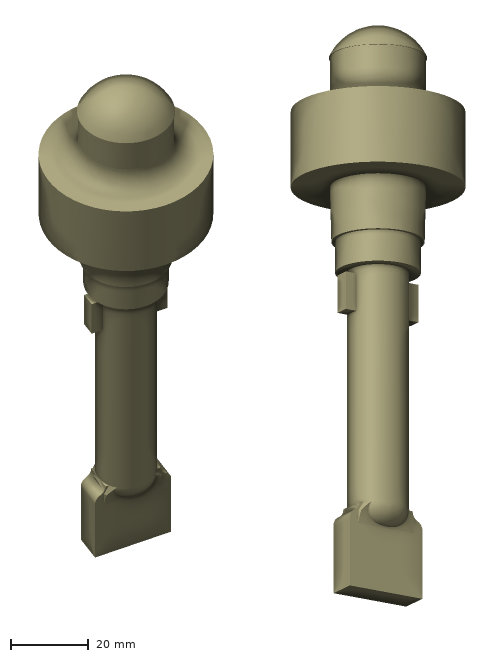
import cadquery as cq
import math

TOTAL_HEIGHT = 152.9
CAP_BASE_Z = 144.7
CAP_RIM_HEIGHT = 0.3
FLANGE_TOP_Z = 130.3
FLANGE_BOTTOM_Z = 110.0
TAPER_BOTTOM_Z = 95.3
HOUSING_BOTTOM_Z = 86.9

CAP_RADIUS = 25.2 / 2
COLLAR_RADIUS = 24.8 / 2
COLLAR_FILLET = 5.7
FLANGE_RADIUS = 45.0 / 2
TAPER_TOP_RADIUS = COLLAR_RADIUS
TAPER_BOTTOM_RADIUS = 24.0 / 2
SPIGOT_RADIUS = 22.0 / 2

ROD_RADIUS = 16.0 / 2
ROD_END_Z = 17.5
ROD_END_ROUNDING = 5.5
KEY_WIDTH = 4.1
KEY_LENGTH = 2 * SPIGOT_RADIUS
KEY_TOP_Z = 85.0
KEY_HEIGHT = 10.1
BLADE_THICKNESS = 8.0
BLADE_HALF_WIDTH = SPIGOT_RADIUS
SHOULDER_ROOT_Z = 23.1
SHOULDER_MIDDLE_Z = 20.6
SHOULDER_OUTER_Z = 18.2
SHOULDER_BULGE = 0.3
NECK_BOTTOM_Z = 17.3
NECK_WIDTH = 16.8
NECK_TOP_HALF_THICKNESS = 5.8
NECK_BULGE = 0.3


def make_cap():
    """Spherical dome on a thin cylindrical rim."""
    rim_top_z = CAP_BASE_Z + CAP_RIM_HEIGHT
    dome_height = TOTAL_HEIGHT - rim_top_z
    sphere_radius = (CAP_RADIUS**2 + dome_height**2) / (2 * dome_height)
    center_z = TOTAL_HEIGHT - sphere_radius
    half_angle = math.asin(CAP_RADIUS / sphere_radius) / 2
    arc_middle = (
        sphere_radius * math.sin(half_angle),
        center_z + sphere_radius * math.cos(half_angle),
    )
    return (
        cq.Workplane("XZ")
        .moveTo(0, CAP_BASE_Z)
        .lineTo(CAP_RADIUS, CAP_BASE_Z)
        .lineTo(CAP_RADIUS, rim_top_z)
        .threePointArc(arc_middle, (0, TOTAL_HEIGHT))
        .close()
        .revolve(360, (0, 0, 0), (0, 1, 0))
    )


def make_housing():
    """Flanged, stepped sleeve with a through bore that holds the rod."""
    arc_inset = COLLAR_FILLET * (1 - math.sqrt(0.5))
    fillet_middle = (COLLAR_RADIUS + arc_inset, FLANGE_TOP_Z + arc_inset)
    return (
        cq.Workplane("XZ")
        .moveTo(ROD_RADIUS, HOUSING_BOTTOM_Z)
        .lineTo(SPIGOT_RADIUS, HOUSING_BOTTOM_Z)
        .lineTo(SPIGOT_RADIUS, TAPER_BOTTOM_Z)
        .lineTo(TAPER_BOTTOM_RADIUS, TAPER_BOTTOM_Z)
        .lineTo(TAPER_TOP_RADIUS, FLANGE_BOTTOM_Z)
        .lineTo(FLANGE_RADIUS, FLANGE_BOTTOM_Z)
        .lineTo(FLANGE_RADIUS, FLANGE_TOP_Z)
        .lineTo(COLLAR_RADIUS + COLLAR_FILLET, FLANGE_TOP_Z)
        .threePointArc(fillet_middle, (COLLAR_RADIUS, FLANGE_TOP_Z + COLLAR_FILLET))
        .lineTo(COLLAR_RADIUS, CAP_BASE_Z)
        .lineTo(ROD_RADIUS, CAP_BASE_Z)
        .close()
        .revolve(360, (0, 0, 0), (0, 1, 0))
    )


def make_blade():
    """Flat blade whose shoulders blend into the rod through S-shaped curves."""
    shoulder_middle = ((ROD_RADIUS + BLADE_HALF_WIDTH) / 2, SHOULDER_MIDDLE_Z)
    concave_middle = (
        (ROD_RADIUS + shoulder_middle[0]) / 2 - SHOULDER_BULGE,
        (SHOULDER_ROOT_Z + SHOULDER_MIDDLE_Z) / 2 - SHOULDER_BULGE,
    )
    convex_middle = (
        (shoulder_middle[0] + BLADE_HALF_WIDTH) / 2 + SHOULDER_BULGE,
        (SHOULDER_MIDDLE_Z + SHOULDER_OUTER_Z) / 2 + SHOULDER_BULGE,
    )
    half_blade = (
        cq.Workplane("YZ")
        .lineTo(BLADE_HALF_WIDTH, 0)
        .lineTo(BLADE_HALF_WIDTH, SHOULDER_OUTER_Z)
        .threePointArc(convex_middle, shoulder_middle)
        .threePointArc(concave_middle, (ROD_RADIUS, SHOULDER_ROOT_Z))
        .lineTo(0, SHOULDER_ROOT_Z)
        .close()
        .extrude(BLADE_THICKNESS / 2, both=True)
    )
    return half_blade.union(half_blade.mirror("XZ"))


def make_neck():
    """Concave webs that blend the blade faces into the rod, trimmed to the flare at the rod end."""
    half_thickness = BLADE_THICKNESS / 2
    arc_middle_x = (half_thickness + NECK_TOP_HALF_THICKNESS) / 2 - NECK_BULGE
    arc_middle_z = (NECK_BOTTOM_Z + SHOULDER_ROOT_Z) / 2
    web = (
        cq.Workplane("XZ")
        .moveTo(-half_thickness, NECK_BOTTOM_Z)
        .lineTo(half_thickness, NECK_BOTTOM_Z)
        .threePointArc((arc_middle_x, arc_middle_z), (NECK_TOP_HALF_THICKNESS, SHOULDER_ROOT_Z))
        .lineTo(-NECK_TOP_HALF_THICKNESS, SHOULDER_ROOT_Z)
        .threePointArc((-arc_middle_x, arc_middle_z), (-half_thickness, NECK_BOTTOM_Z))
        .close()
        .extrude(NECK_WIDTH / 2, both=True)
    )
    flare_radius = math.hypot(half_thickness, NECK_WIDTH / 2)
    flare = (
        cq.Workplane("XZ")
        .moveTo(0, NECK_BOTTOM_Z)
        .lineTo(flare_radius, NECK_BOTTOM_Z)
        .lineTo(flare_radius, SHOULDER_MIDDLE_Z)
        .lineTo(ROD_RADIUS, SHOULDER_ROOT_Z)
        .lineTo(0, SHOULDER_ROOT_Z)
        .close()
        .revolve(360, (0, 0, 0), (0, 1, 0))
    )
    return web.intersect(flare)


def make_rod():
    """Round rod with a rounded end, a cross key and a flat blade."""
    shaft = (
        cq.Workplane("XY", origin=(0, 0, ROD_END_Z))
        .circle(ROD_RADIUS)
        .extrude(CAP_BASE_Z - ROD_END_Z)
        .faces("<Z")
        .edges()
        .fillet(ROD_END_ROUNDING)
    )
    key = cq.Workplane("XY", origin=(0, 0, KEY_TOP_Z - KEY_HEIGHT)).box(
        KEY_WIDTH, KEY_LENGTH, KEY_HEIGHT, centered=(True, True, False)
    )
    return shaft.union(key).union(make_blade()).union(make_neck())


cap = make_cap()
housing = make_housing()
rod = make_rod()

result = cq.Compound.makeCompound([cap.val(), housing.val(), *rod.solids().vals()])